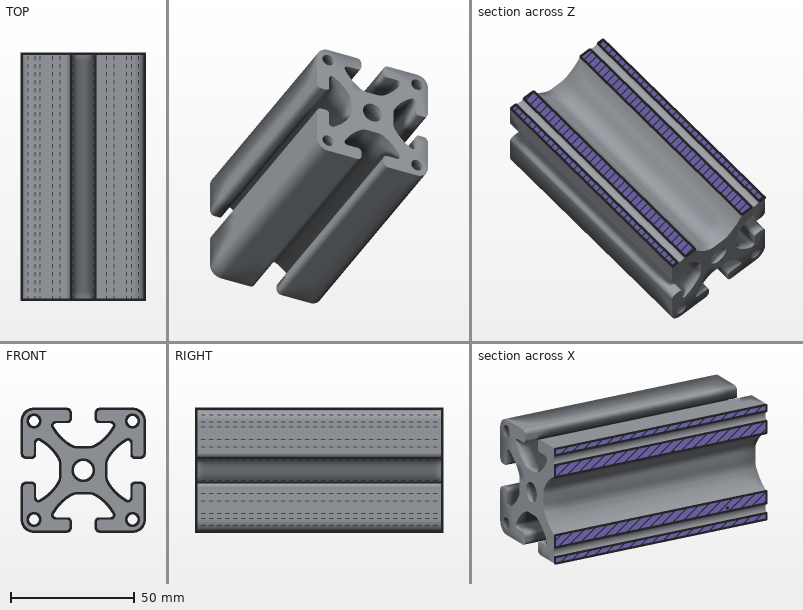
import math

import cadquery as cq

side = 50.0
length = 100.0
corner_radius = 5.0
side_count = 4

center_bore_diameter = 8.5
corner_bore_diameter = 5.0
corner_bore_offset = side / 2 - corner_radius

slot_width = 10.0
lip_thickness = 5.5
core_half_width = 9.4
mouth_radius = 2.0
lip_inner_radius = 1.6
nose_radius = 1.3
floor_radius = 5.5

waist_thickness = 5.85
waist_distance = 15.7
flank_radius = 20.0

top_z = side / 2
lip_z = top_z - lip_thickness
mouth_half = slot_width / 2

flank_center_across = waist_thickness / 2 + flank_radius
flank_center_x = (waist_distance - flank_center_across) / math.sqrt(2)
flank_center_z = (waist_distance + flank_center_across) / math.sqrt(2)
waist_x = flank_center_x + flank_radius / math.sqrt(2)
waist_z = flank_center_z - flank_radius / math.sqrt(2)


def flank_x(z):
    """X of the flank arc at height z."""
    return flank_center_x + math.sqrt(flank_radius**2 - (z - flank_center_z) ** 2)


floor_half = flank_x(core_half_width)
nose_half = flank_x(lip_z)


def fillet_at(body, corner_x, corner_z, radius):
    """Round the lengthwise edges at (+corner_x, corner_z) and (-corner_x, corner_z)."""
    for x in (-corner_x, corner_x):
        edge = cq.selectors.NearestToPointSelector((x, length / 2, corner_z))
        body = body.edges("|Y").edges(edge).fillet(radius)
    return body


def extrude_section(sketch):
    """Extrude an XZ sketch from Y = 0 to Y = length."""
    return sketch.extrude(-length)


def slot_chamber():
    """Wide part of the upper slot, below the lips."""
    chamber = extrude_section(
        cq.Workplane("XZ")
        .moveTo(-floor_half, core_half_width)
        .lineTo(floor_half, core_half_width)
        .threePointArc((waist_x, waist_z), (nose_half, lip_z))
        .lineTo(-nose_half, lip_z)
        .threePointArc((-waist_x, waist_z), (-floor_half, core_half_width))
        .close()
    )
    chamber = fillet_at(chamber, floor_half, core_half_width, floor_radius)
    return fillet_at(chamber, nose_half, lip_z, nose_radius)


def slot_mouth():
    """Opening between the lips of the upper slot."""
    return extrude_section(
        cq.Workplane("XZ")
        .center(0, (lip_z + top_z) / 2)
        .rect(slot_width, lip_thickness)
    )


def round_lips(body):
    """Round the outer and inner edges of the two upper lips."""
    body = fillet_at(body, mouth_half, top_z, mouth_radius)
    return fillet_at(body, mouth_half, lip_z, lip_inner_radius)


def cut_slot_on_top(body):
    """Cut the T-slot in the +Z side of the body."""
    return round_lips(body.cut(slot_chamber()).cut(slot_mouth()))


def bores():
    """Through bores at the centre and near the four corners."""
    corners = extrude_section(
        cq.Workplane("XZ")
        .rect(2 * corner_bore_offset, 2 * corner_bore_offset, forConstruction=True)
        .vertices()
        .circle(corner_bore_diameter / 2)
    )
    center = extrude_section(cq.Workplane("XZ").circle(center_bore_diameter / 2))
    return corners.union(center)


result = extrude_section(cq.Workplane("XZ").rect(side, side))
result = result.edges("|Y").fillet(corner_radius)
for _ in range(side_count):
    result = cut_slot_on_top(result)
    result = result.rotate((0, 0, 0), (0, 1, 0), 360 / side_count)
result = result.cut(bores())